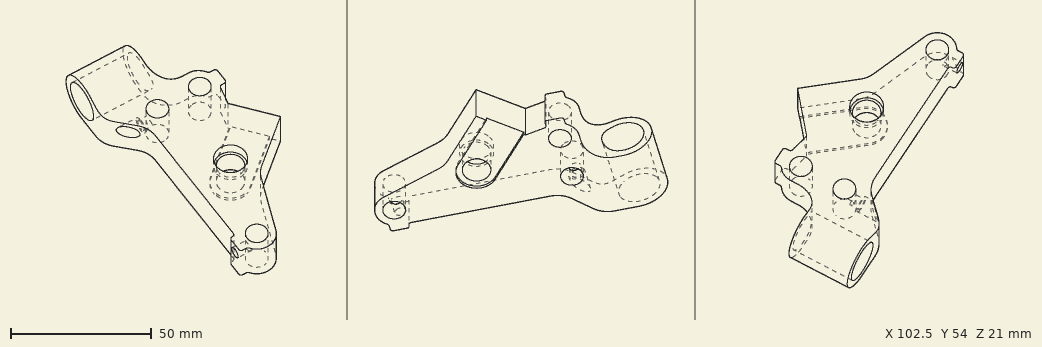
import cadquery as cq
import math

length = 102.5
width = 54.0
plate_thickness = 15.0

barrel_radius = 10.51
bore_radius = 7.6
barrel_length = 24.1
ramp_angle = math.radians(30)

blend_radius = 9.9
tab_corner_radius = 1.0

bolt_radius = 4.05
left_bolt_x = 30.4
lower_bolt_y = 19.1
upper_bolt_y = 37.0
end_radius = 7.0
right_bolt_x = length - end_radius

tab_half_width = 3.5
upper_tab_y = 46.1
lower_tab_y = 9.8
shoulder_y = 43.1

neck_x = left_bolt_x - end_radius
front_edge_y = 12.04
front_bevel_x = 23.8
apex_x = 57.0
apex_angle = math.radians(40)
notch_x = 42.0
tail_angle = math.radians(20)

center_x = 62.9
center_y = 29.0
center_radius = 5.07
counterbore_radius = 6.0
counterbore_depth = 4.3
channel_radius = 7.4
channel_depth = 1.2

cross_radius = 2.0
cross_z = 10.1
cross_head_radius = 3.1


def vertical_edge_at(x, y):
    """Selector for the upright edge of the outline at (x, y)."""
    reach = 0.05
    return cq.selectors.BoxSelector(
        (x - reach, y - reach, -1), (x + reach, y + reach, 2 * plate_thickness + barrel_radius)
    )


def plan_body():
    """Full-height body with the plan outline of the part."""
    height = 2 * barrel_radius
    tab_left = left_bolt_x - tab_half_width
    tab_right = left_bolt_x + tab_half_width
    foot_left = right_bolt_x - tab_half_width
    foot_right = right_bolt_x + tab_half_width
    boss_rise = math.sqrt(end_radius**2 - tab_half_width**2)

    bevel_end_x = front_bevel_x + front_edge_y
    notch_y = width - (apex_x - notch_x) * math.tan(apex_angle)

    tail_x = right_bolt_x + end_radius * math.sin(tail_angle)
    tail_y = lower_bolt_y + end_radius * math.cos(tail_angle)
    steep_slope = 1 / math.tan(apex_angle)
    tail_slope = math.tan(tail_angle)
    elbow_x = (width + steep_slope * apex_x - tail_y - tail_slope * tail_x) / (steep_slope - tail_slope)
    elbow_y = width - steep_slope * (elbow_x - apex_x)

    corner_angle = (math.pi + math.atan2(boss_rise, -tab_half_width)) / 2
    corner_mid = (
        left_bolt_x + end_radius * math.cos(corner_angle),
        upper_bolt_y + end_radius * math.sin(corner_angle),
    )

    body = (
        cq.Workplane("XY")
        .moveTo(0, 0)
        .lineTo(front_bevel_x, 0)
        .lineTo(bevel_end_x, front_edge_y)
        .lineTo(foot_left, front_edge_y)
        .lineTo(foot_left, lower_tab_y)
        .lineTo(foot_right, lower_tab_y)
        .lineTo(foot_right, lower_bolt_y - boss_rise)
        .threePointArc((length, lower_bolt_y), (tail_x, tail_y))
        .lineTo(elbow_x, elbow_y)
        .lineTo(apex_x, width)
        .lineTo(notch_x, notch_y)
        .lineTo(tab_right, shoulder_y)
        .lineTo(tab_right, upper_tab_y)
        .lineTo(tab_left, upper_tab_y)
        .lineTo(tab_left, upper_bolt_y + boss_rise)
        .threePointArc(corner_mid, (neck_x, upper_bolt_y))
        .lineTo(neck_x, barrel_length)
        .lineTo(0, barrel_length)
        .close()
        .extrude(height)
    )
    blends = (
        (front_bevel_x, 0),
        (bevel_end_x, front_edge_y),
        (elbow_x, elbow_y),
        (neck_x, barrel_length),
    )
    tab_corners = (
        (foot_left, front_edge_y),
        (foot_left, lower_tab_y),
        (foot_right, lower_tab_y),
        (foot_right, lower_bolt_y - boss_rise),
        (tab_right, shoulder_y),
        (tab_right, upper_tab_y),
        (tab_left, upper_tab_y),
        (tab_left, upper_bolt_y + boss_rise),
    )
    for points, radius in ((blends, blend_radius), (tab_corners, tab_corner_radius)):
        for x, y in points:
            body = body.edges(vertical_edge_at(x, y)).fillet(radius)
    return body


def side_profile():
    """Barrel, ramp and plate seen along Y, extruded over the full width."""
    ramp_top_x = barrel_radius * (1 + math.sin(ramp_angle))
    ramp_top_z = barrel_radius * (1 + math.cos(ramp_angle))
    ramp_foot_x = ramp_top_x + (ramp_top_z - plate_thickness) / math.tan(ramp_angle)
    blend_length = blend_radius * math.tan(ramp_angle / 2)
    blend_start = (
        ramp_foot_x - blend_length * math.cos(ramp_angle),
        plate_thickness + blend_length * math.sin(ramp_angle),
    )
    return (
        cq.Workplane("XZ")
        .moveTo(barrel_radius, 0)
        .lineTo(length, 0)
        .lineTo(length, plate_thickness)
        .lineTo(ramp_foot_x + blend_length, plate_thickness)
        .tangentArcPoint(blend_start, relative=False)
        .lineTo(ramp_top_x, ramp_top_z)
        .threePointArc((0, barrel_radius), (barrel_radius, 0))
        .close()
        .extrude(-width)
    )


def cylinder_along_y(x, z, radius, y_start, y_end):
    """Cylinder parallel to Y, for bores and cross holes."""
    return cq.Workplane("XZ", origin=(x, y_start, z)).circle(radius).extrude(y_start - y_end)


def vertical_holes():
    """Bolt holes and the counterbored central hole."""
    bolts = (
        cq.Workplane("XY")
        .pushPoints([(left_bolt_x, lower_bolt_y), (left_bolt_x, upper_bolt_y), (right_bolt_x, lower_bolt_y)])
        .circle(bolt_radius)
        .extrude(plate_thickness)
    )
    through = cq.Workplane("XY").center(center_x, center_y).circle(center_radius).extrude(plate_thickness)
    counterbore = (
        cq.Workplane("XY", origin=(center_x, center_y, plate_thickness))
        .circle(counterbore_radius)
        .extrude(-counterbore_depth)
    )
    return bolts.union(through).union(counterbore)


def underside_channel():
    """Round-ended channel from the central hole out through the sloping back edge."""
    return (
        cq.Workplane("XY")
        .moveTo(0, -channel_radius)
        .lineTo(width, -channel_radius)
        .lineTo(width, channel_radius)
        .lineTo(0, channel_radius)
        .threePointArc((-channel_radius, 0), (0, -channel_radius))
        .close()
        .extrude(channel_depth)
        .rotate((0, 0, 0), (0, 0, 1), 90 + math.degrees(apex_angle))
        .translate((center_x, center_y, 0))
    )


result = plan_body().intersect(side_profile())
result = result.cut(cylinder_along_y(barrel_radius, barrel_radius, bore_radius, 0, width))
result = result.cut(vertical_holes())
result = result.cut(underside_channel())
for cross_x in (left_bolt_x, right_bolt_x):
    result = result.cut(cylinder_along_y(cross_x, cross_z, cross_radius, 0, lower_bolt_y))
result = result.cut(cylinder_along_y(left_bolt_x, cross_z, cross_head_radius, 0, front_edge_y))